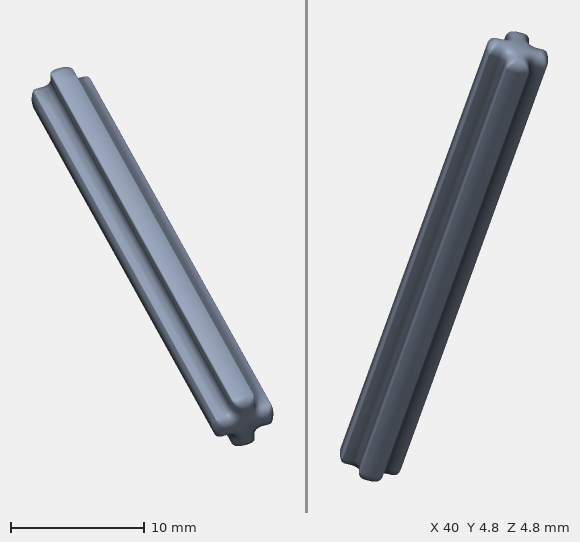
import cadquery as cq

length = 40.0
tip_radius = 2.4
arm_width = 1.8
inner_fillet = 0.5
tip_edge_rounding = 0.1
inner_reach = 1.9
end_rounding = 0.8


def arm(angle):
    """A rectangular bar through the axis, forming two opposite arms."""
    bar = cq.Workplane("YZ").rect(2 * tip_radius, arm_width).extrude(length / 2, both=True)
    return bar.rotate((0, 0, 0), (1, 0, 0), angle)


def cross_bar():
    """Crossed bars with filleted inner corners and tips trimmed to a cylinder."""
    cross = arm(0).union(arm(90))
    inner_corners = cq.selectors.BoxSelector(
        (-length, -arm_width, -arm_width), (length, arm_width, arm_width)
    )
    cross = cross.edges("|X").edges(inner_corners).fillet(inner_fillet)
    envelope = cq.Workplane("YZ").circle(tip_radius).extrude(length / 2, both=True)
    return cross.intersect(envelope)


def round_tip_edges(cross):
    """Soften the long edges where the flat arm sides meet the rounded tips."""
    near_axis = cq.selectors.BoxSelector(
        (-length, -inner_reach, -inner_reach), (length, inner_reach, inner_reach)
    )
    along_x = cq.selectors.ParallelDirSelector(cq.Vector(1, 0, 0))
    tip_edges = cq.selectors.SubtractSelector(along_x, near_axis)
    return cross.edges(tip_edges).fillet(tip_edge_rounding)


result = round_tip_edges(cross_bar()).faces("<X or >X").edges().fillet(end_rounding)